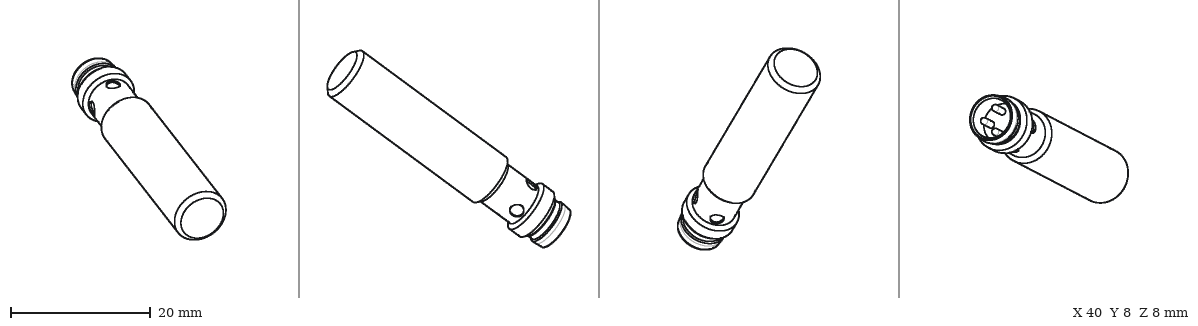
import cadquery as cq
import math

length = 40.0
body_dia = 8.0

nose_dia = 6.65
ridge_dia = 6.9
groove_dia = 6.45
ridge_start = 1.2
ridge_end = 1.75
groove_start = 1.95
groove_end = 2.85

collar_land_dia = 6.6
collar_start = 3.65
collar_end = 5.6
collar_back_angle = 60.0

neck_dia = 6.6
window_dia = 2.0
window_floor_dia = 6.0
window_x = 7.3
window_count = 4

body_start = 12.39
end_chamfer = 0.7

socket_dia = 5.8
socket_mouth_dia = 6.36
socket_mouth_depth = 0.3
socket_depth = 4.0
pin_dia = 1.0
pin_circle_radius = 1.75
pin_tip_x = 1.0
pin_angles = (0.0, 90.0, 270.0)


def revolve_about_x(outline):
    """Solid of revolution about the X axis."""
    return outline.close().revolve(360, (0, 0, 0), (1, 0, 0))


def make_barrel():
    """Turned outside shape, revolved about the X axis."""
    body_r = body_dia / 2
    neck_r = neck_dia / 2
    land_r = collar_land_dia / 2
    collar_front_x = collar_start - (body_r - land_r)
    collar_back_x = collar_end + (body_r - neck_r) / math.tan(math.radians(collar_back_angle))
    neck_end_x = body_start - (body_r - neck_r)
    profile = [
        (0, 0),
        (0, nose_dia / 2),
        (ridge_start, ridge_dia / 2),
        (ridge_end, ridge_dia / 2),
        (groove_start, groove_dia / 2),
        (groove_end, groove_dia / 2),
        (groove_end, land_r),
        (collar_front_x, land_r),
        (collar_start, body_r),
        (collar_end, body_r),
        (collar_back_x, neck_r),
        (neck_end_x, neck_r),
        (body_start, body_r),
        (length - end_chamfer, body_r),
        (length, body_r - end_chamfer),
        (length, 0),
    ]
    return revolve_about_x(cq.Workplane("XY").polyline(profile))


def make_socket():
    """Round bore opened from the plug end, with a flared mouth."""
    socket_r = socket_dia / 2
    outline = (
        cq.Workplane("XY")
        .lineTo(0, socket_mouth_dia / 2)
        .lineTo(socket_mouth_depth, socket_r)
        .lineTo(socket_depth, socket_r)
        .lineTo(socket_depth, 0)
    )
    return revolve_about_x(outline)


def make_pin(angle):
    """Contact pin with a hemispherical tip, rooted below the socket floor."""
    pin_r = pin_dia / 2
    shank_start = pin_tip_x + pin_r
    pin_root = socket_depth + pin_r
    outline = (
        cq.Workplane("XY")
        .moveTo(pin_tip_x, 0)
        .radiusArc((shank_start, pin_r), pin_r)
        .lineTo(pin_root, pin_r)
        .lineTo(pin_root, 0)
    )
    y = pin_circle_radius * math.cos(math.radians(angle))
    z = pin_circle_radius * math.sin(math.radians(angle))
    return revolve_about_x(outline).translate((0, y, z))


def make_window(angle):
    """Shallow radial pocket whose floor follows a cylinder inside the neck."""
    cutter = (
        cq.Workplane("XY", origin=(window_x, 0, 0))
        .circle(window_dia / 2)
        .extrude(body_dia / 2)
    )
    core = (
        cq.Workplane("YZ", origin=(window_x, 0, 0))
        .circle(window_floor_dia / 2)
        .extrude(window_dia, both=True)
    )
    return cutter.cut(core).rotate((0, 0, 0), (1, 0, 0), angle)


result = make_barrel().cut(make_socket())
for pin_angle in pin_angles:
    result = result.union(make_pin(pin_angle))
for window in range(window_count):
    result = result.cut(make_window(window * 360 / window_count))